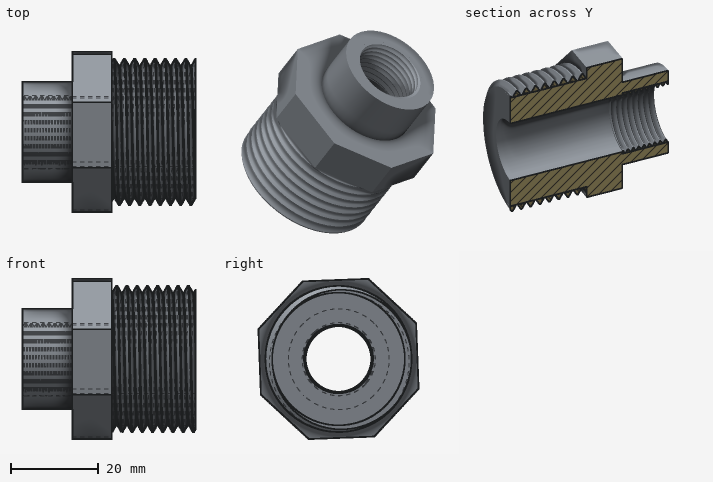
import cadquery as cq
import math

TOTAL_LENGTH = 39.48
BOSS_LENGTH = 11.4
FLANGE_THICKNESS = 9.0
FLANGE_END = BOSS_LENGTH + FLANGE_THICKNESS
SPIGOT_LENGTH = TOTAL_LENGTH - FLANGE_END

BOSS_DIAMETER = 22.98
FLANGE_ACROSS_FLATS = 36.0
FLANGE_SIDES = 8
FLANGE_TURN = 2.2

MALE_ROOT_DIAMETER = 30.25
MALE_CREST_DIAMETER = 33.32
MALE_PITCH = 2.33
MALE_CREST_OFFSET = 0.5

FEMALE_ROOT_DIAMETER = 16.65
FEMALE_CREST_DIAMETER = 14.92
FEMALE_PITCH = 1.35
FEMALE_CREST_OFFSET = -FEMALE_PITCH / 4
FEMALE_LENGTH = BOSS_LENGTH
BORE_DIAMETER = 15.67

FLANK_ANGLE = 30.0
SPARE_TURNS = 2


def cylinder(start, length, diameter):
    """Solid cylinder on the X axis."""
    return cq.Workplane("YZ", origin=(start, 0, 0)).circle(diameter / 2).extrude(length)


def make_housing():
    """Boss, octagonal flange and spigot in one piece, bored right through."""
    corner_diameter = FLANGE_ACROSS_FLATS / math.cos(math.pi / FLANGE_SIDES)
    flat_turn = 180 / FLANGE_SIDES + FLANGE_TURN
    flange = (
        cq.Workplane("YZ", origin=(BOSS_LENGTH, 0, 0))
        .polygon(FLANGE_SIDES, corner_diameter)
        .extrude(FLANGE_THICKNESS)
        .rotate((0, 0, 0), (1, 0, 0), flat_turn)
    )
    boss = cylinder(0, BOSS_LENGTH, BOSS_DIAMETER)
    spigot = cylinder(FLANGE_END, SPIGOT_LENGTH, MALE_ROOT_DIAMETER)
    threaded_bore = cylinder(0, FEMALE_LENGTH, FEMALE_ROOT_DIAMETER)
    plain_bore = cylinder(0, TOTAL_LENGTH, BORE_DIAMETER)
    return boss.union(flange).union(spigot).cut(threaded_bore).cut(plain_bore)


def make_thread(start, length, root_diameter, crest_diameter, pitch, crest_offset):
    """Right-handed helical ridge on a root cylinder, cut off square at both ends.

    The ridge stands outward when the crest is the larger diameter, inward when it is the smaller.
    """
    root_radius = root_diameter / 2
    crest_radius = crest_diameter / 2
    flank_width = abs(crest_radius - root_radius) * math.tan(math.radians(FLANK_ANGLE))
    flat_width = pitch / 2 - flank_width
    half_crest = flat_width / 2
    half_base = half_crest + flank_width

    helix_start = crest_offset - SPARE_TURNS * pitch
    path = cq.Wire.makeHelix(pitch, length + 2 * SPARE_TURNS * pitch, root_radius)
    ridge = (
        cq.Workplane("XZ")
        .polyline([
            (root_radius, -half_base),
            (crest_radius, -half_crest),
            (crest_radius, half_crest),
            (root_radius, half_base),
        ])
        .close()
        .sweep(cq.Workplane(path), isFrenet=True)
    )
    placed = ridge.val().moved(cq.Location(cq.Plane.YZ(origin=(start + helix_start, 0, 0))))

    slab = cylinder(start, length, 2 * (max(root_radius, crest_radius) + pitch))
    return slab.intersect(cq.Workplane(placed))


housing = make_housing()
male_thread = make_thread(
    FLANGE_END, SPIGOT_LENGTH, MALE_ROOT_DIAMETER, MALE_CREST_DIAMETER, MALE_PITCH, MALE_CREST_OFFSET
)
female_thread = make_thread(
    0, FEMALE_LENGTH, FEMALE_ROOT_DIAMETER, FEMALE_CREST_DIAMETER, FEMALE_PITCH, FEMALE_CREST_OFFSET
)

result = cq.Compound.makeCompound([housing.val(), *male_thread.vals(), *female_thread.vals()])